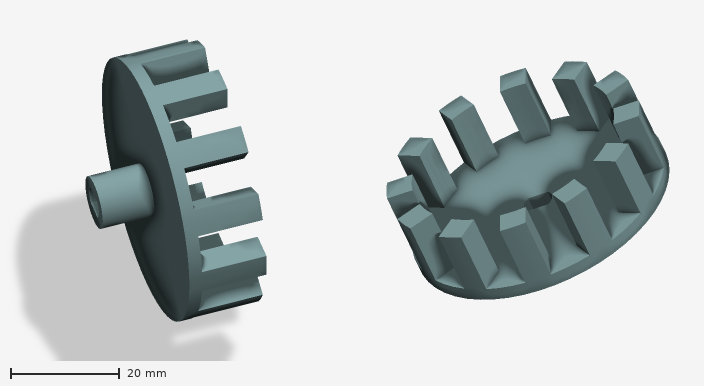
import cadquery as cq
import math

disc_diameter = 50.0
disc_thickness = 2.5
hub_diameter = 10.0
hub_length = 10.0
tooth_count = 12
tooth_width = 5.1
tooth_length = 12.5
tooth_inner_radius = 20.0
bore_diameter = 5.6
bore_flat_spacing = 4.0

disc_front = 0.0
disc_back = disc_front + disc_thickness
hub_front = disc_front - hub_length
disc_radius = disc_diameter / 2


def plane_at(y):
    """Sketch plane facing +Y, with local x along -X and local y along +Z."""
    return cq.Workplane(cq.Plane(origin=(0, y, 0), xDir=(-1, 0, 0), normal=(0, 1, 0)))


def make_tooth(angle):
    """Parallel-sided tooth cut from a ring as wide as the disc."""
    half_width = tooth_width / 2
    rim_reach = math.sqrt(disc_radius**2 - half_width**2)
    inner_reach = math.sqrt(tooth_inner_radius**2 - half_width**2)
    return (
        plane_at(disc_back)
        .moveTo(inner_reach, -half_width)
        .lineTo(rim_reach, -half_width)
        .threePointArc((disc_radius, 0), (rim_reach, half_width))
        .lineTo(inner_reach, half_width)
        .threePointArc((tooth_inner_radius, 0), (inner_reach, -half_width))
        .close()
        .extrude(tooth_length)
        .rotate((0, 0, 0), (0, 1, 0), angle)
    )


def make_bore():
    """Round bore with two flats facing along Z, through the hub and the disc."""
    bore_length = hub_length + disc_thickness
    round_bore = plane_at(hub_front).circle(bore_diameter / 2).extrude(bore_length)
    flats = plane_at(hub_front).rect(bore_diameter, bore_flat_spacing).extrude(bore_length)
    return round_bore.intersect(flats)


disc = plane_at(disc_front).circle(disc_radius).extrude(disc_thickness)
hub = plane_at(hub_front).circle(hub_diameter / 2).extrude(hub_length)

result = disc.union(hub)
for index in range(tooth_count):
    result = result.union(make_tooth(index * 360 / tooth_count))
result = result.cut(make_bore())